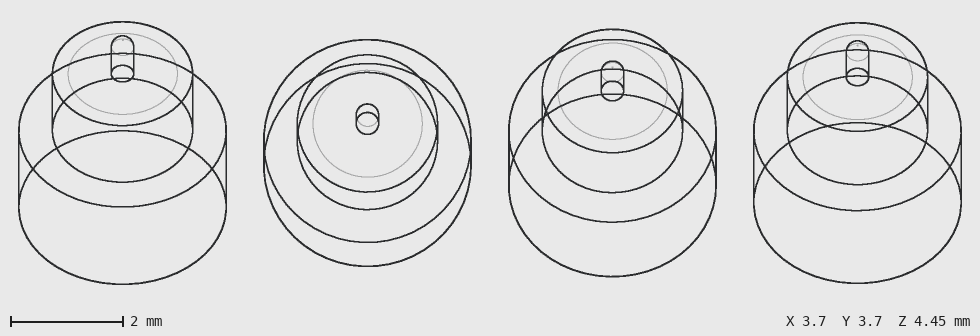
import cadquery as cq

total_height = 4.45
base_diameter = 3.7
base_height = 2.05
sleeve_diameter = 2.5
sleeve_height = 1.5
insert_diameter = 1.95
pin_diameter = 0.4
tip_radius = 0.19

shoulder_height = base_height + sleeve_height
pin_height = total_height - shoulder_height


def cylinder(diameter, height, bottom):
    """Vertical cylinder on the Z axis, starting at the given height."""
    return cq.Workplane("XY").workplane(offset=bottom).circle(diameter / 2).extrude(height)


base = cylinder(base_diameter, base_height, 0)
sleeve = cylinder(sleeve_diameter, sleeve_height, base_height)
body = base.union(sleeve)

insert = cylinder(insert_diameter, sleeve_height, base_height)
body = body.cut(insert)

pin = cylinder(pin_diameter, pin_height, shoulder_height).faces(">Z").edges().fillet(tip_radius)

result = body.union(insert, clean=False).union(pin, clean=False)